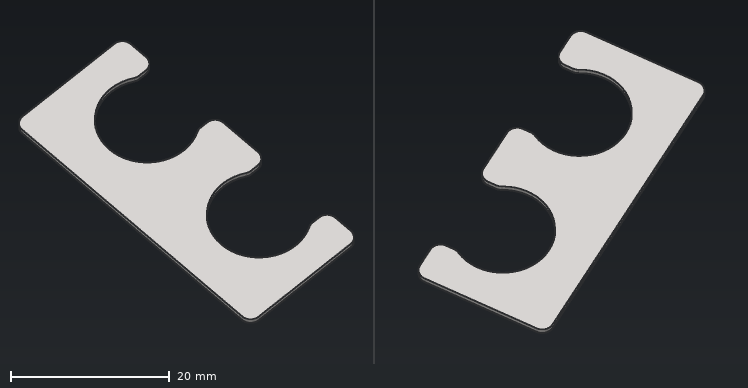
import cadquery as cq
import math

length = 42.85
width = 19.05
thickness = 0.8
corner_radius = 1.5

pocket_radius = 6.6
pocket_spacing = 20.3
mouth_width = 11.1
lip_radius = 1.5

top_edge = width / 2
pocket_y = top_edge - pocket_radius


def make_plate():
    """Rectangular plate with rounded corners."""
    plate = cq.Workplane("XY").rect(length, width).extrude(thickness)
    return plate.edges("|Z").fillet(corner_radius)


def make_pocket(center_x):
    """Cutter for one pocket: round bottom, blended neck and flared mouth."""
    half_mouth = mouth_width / 2
    lip_x = half_mouth + lip_radius
    diagonal = math.sqrt(0.5)

    center_distance = pocket_radius + lip_radius
    neck_y = math.sqrt(center_distance**2 - lip_x**2)
    tangent_x = lip_x * pocket_radius / center_distance
    tangent_y = neck_y * pocket_radius / center_distance

    neck_angle = math.atan2(neck_y, lip_x) / 2
    neck_mid_x = lip_x - lip_radius * math.cos(neck_angle)
    neck_mid_y = neck_y - lip_radius * math.sin(neck_angle)

    edge_y = pocket_radius
    lip_y = edge_y - lip_radius
    lip_mid_x = lip_x - lip_radius * diagonal
    lip_mid_y = lip_y + lip_radius * diagonal

    return (
        cq.Workplane("XY", origin=(center_x, pocket_y, 0))
        .moveTo(-lip_x, edge_y)
        .threePointArc((-lip_mid_x, lip_mid_y), (-half_mouth, lip_y))
        .lineTo(-half_mouth, neck_y)
        .threePointArc((-neck_mid_x, neck_mid_y), (-tangent_x, tangent_y))
        .threePointArc((0, -pocket_radius), (tangent_x, tangent_y))
        .threePointArc((neck_mid_x, neck_mid_y), (half_mouth, neck_y))
        .lineTo(half_mouth, lip_y)
        .threePointArc((lip_mid_x, lip_mid_y), (lip_x, edge_y))
        .close()
        .extrude(thickness)
    )


result = make_plate()
for side in (-1, 1):
    result = result.cut(make_pocket(side * pocket_spacing / 2))